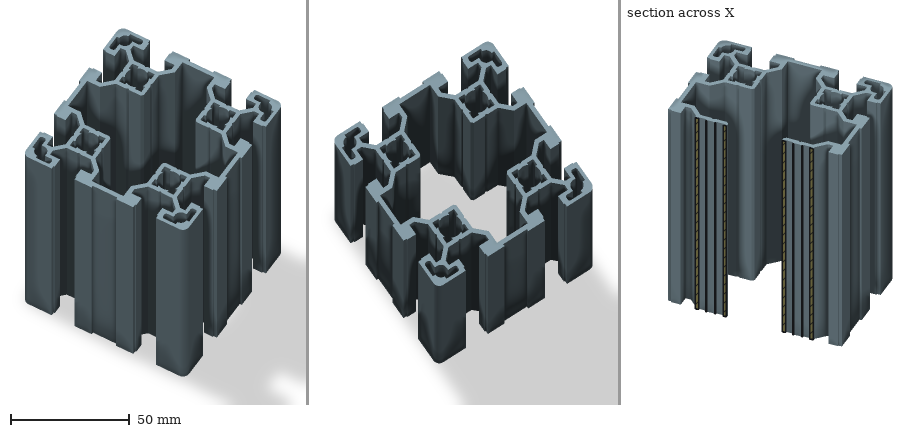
import math

import cadquery as cq

SIDE = 80.0
LENGTH = 100.0
CORNER_RADIUS = 3.0
HALF = SIDE / 2
MODULE = HALF / 2

MOUTH_HALF = 5.1
MOUTH_STEP = 0.5
STEP_DEPTH = 1.6
LIP_DEPTH = 6.0
SLOT_HALF = 10.1
GROOVE_HALF = 0.8
GROOVE_DEPTH = 0.5

CORE_HALF = 7.3
CORE_CHAMFER = 1.0
CORE_HOLE_RADIUS = 5.1
CORE_POCKET_HALF = 5.5
CORE_PAD_HALF = 2.4
WEB_THICKNESS = 2.0
WEB_OFFSET = WEB_THICKNESS / math.sqrt(2)

RECESS_HALF = 6.0
RECESS_DEPTH = 1.0
SIDE_WALL = 2.0
CHAMBER_HALF = 7.8

HOLLOW_CENTRE = 5.6
HOLLOW_RADIUS = 2.8
HOLLOW_WALL = 1.5
ARM_WIDTH = 2.9
ARM_END = 12.4
ARM_END_RADIUS = 1.0

QUARTER_TURNS = (0, 90, 180, 270)


def prism(points):
    return cq.Workplane("XY").polyline(points).close().extrude(LENGTH)


def box(x_min, x_max, y_min, y_max):
    return prism([(x_min, y_min), (x_max, y_min), (x_max, y_max), (x_min, y_max)])


def cylinder(x, y, radius):
    return cq.Workplane("XY").center(x, y).circle(radius).extrude(LENGTH)


def mirrored_in_diagonal(solid):
    """Swap the X and Y of a solid, keeping Z."""
    return solid.mirror("YZ").rotate((0, 0, 0), (0, 0, 1), -90)


def t_slot():
    """Slot in the +Y side of the +X+Y quadrant, with a stepped mouth and a V-groove in its floor."""
    step_y = HALF - STEP_DEPTH
    lip_y = HALF - LIP_DEPTH
    floor_y = MODULE + CORE_HALF
    wall_end_y = MODULE + SLOT_HALF + WEB_OFFSET
    floor_half = CORE_HALF - WEB_OFFSET
    right_half = [
        (MOUTH_HALF + MOUTH_STEP, HALF),
        (MOUTH_HALF + MOUTH_STEP, step_y),
        (MOUTH_HALF, step_y),
        (MOUTH_HALF, lip_y),
        (SLOT_HALF, lip_y),
        (SLOT_HALF, wall_end_y),
        (floor_half, floor_y),
        (GROOVE_HALF, floor_y),
    ]
    right = [(MODULE + x, y) for x, y in right_half]
    left = [(MODULE - x, y) for x, y in reversed(right_half)]
    return prism(right + [(MODULE, floor_y - GROOVE_DEPTH)] + left)


def core_hole():
    """Round bore with square corner pockets, leaving a curved pad on each core wall."""
    hole = cylinder(0, 0, CORE_HOLE_RADIUS)
    pocket = box(CORE_PAD_HALF, CORE_POCKET_HALF, CORE_PAD_HALF, CORE_POCKET_HALF)
    hole = hole.union(box(-CORE_PAD_HALF, CORE_PAD_HALF, -CORE_PAD_HALF, CORE_PAD_HALF))
    for angle in QUARTER_TURNS:
        hole = hole.union(pocket.rotate((0, 0, 0), (0, 0, 1), angle))
    return hole.translate((MODULE, MODULE, 0))


def corner_hollow():
    """Two arms with rounded ends, joined by a round bore, inside the outer corner."""
    centre = HALF - HOLLOW_CENTRE
    arm_top = HALF - HOLLOW_WALL
    arm = box(HALF - ARM_END, centre, arm_top - ARM_WIDTH, arm_top)
    arm = arm.edges("|Z and <X").fillet(ARM_END_RADIUS)
    inner_end = centre - HOLLOW_RADIUS
    junction = box(inner_end, centre, centre, arm_top - ARM_WIDTH)
    arm = arm.union(junction)
    return cylinder(centre, centre, HOLLOW_RADIUS).union(arm).union(mirrored_in_diagonal(arm))


def cavity_quarter():
    """Cavity outline around the +X+Y core, from the +X chamber to the +Y chamber."""
    chamber_end = HALF - RECESS_DEPTH - SIDE_WALL
    core_face = MODULE - CORE_HALF
    web_sum = 2 * MODULE - WEB_OFFSET
    first_half = [
        (chamber_end, CHAMBER_HALF),
        (web_sum - CHAMBER_HALF, CHAMBER_HALF),
        (web_sum - core_face, core_face),
        (MODULE + GROOVE_HALF, core_face),
        (MODULE, core_face + GROOVE_DEPTH),
        (MODULE - GROOVE_HALF, core_face),
        (core_face + CORE_CHAMFER, core_face),
    ]
    return first_half + [(y, x) for x, y in reversed(first_half)]


def cavity():
    points = []
    quarter = cavity_quarter()
    for _ in QUARTER_TURNS:
        points += quarter
        quarter = [(-y, x) for x, y in quarter]
    return prism(points)


body = cq.Workplane("XY").rect(SIDE, SIDE).extrude(LENGTH)
body = body.edges("|Z").fillet(CORNER_RADIUS)
body = body.cut(cavity())

slot = t_slot()
side_recess = box(-RECESS_HALF, RECESS_HALF, HALF - RECESS_DEPTH, HALF)
quadrant_cuts = [slot, mirrored_in_diagonal(slot), side_recess, core_hole(), corner_hollow()]
for angle in QUARTER_TURNS:
    for cutter in quadrant_cuts:
        body = body.cut(cutter.rotate((0, 0, 0), (0, 0, 1), angle))

result = body